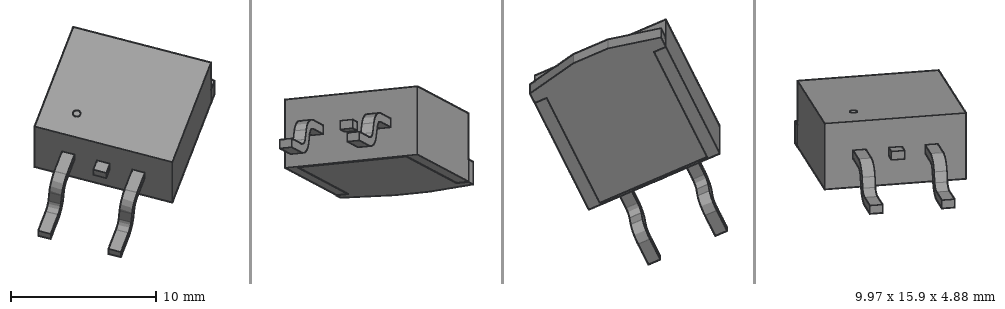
import cadquery as cq
import math


housing_width = 9.97
housing_length = 8.83
overall_height = 4.88
standoff = 0.03

tab_overhang = 1.59
tab_straight_length = 0.8
tab_nose_width = 2.62
tab_thickness = 1.62
pad_side_inset = 0.9
pad_front_inset = 0.16

lead_pitch = 5.08
lead_width = 0.9
lead_thickness = 0.62
overall_length = 15.88
lead_reach = overall_length - housing_length - tab_overhang
lead_top = 2.76
lead_shoulder = 1.75
bend_angle = math.radians(75)
bend_inner_radius = 0.62

stub_width = 0.94
stub_length = 0.83

marker_diameter = 0.52
marker_depth = 0.08
marker_x = -lead_pitch / 2
marker_y = 1.94


def make_tab():
    """Full-width nose behind the housing and a narrower pad under it."""
    side = housing_width / 2
    pad_side = side - pad_side_inset
    shoulder_y = housing_length + tab_straight_length
    nose_y = housing_length + tab_overhang
    half_outline = [
        (pad_side, pad_front_inset),
        (pad_side, housing_length),
        (side, housing_length),
        (side, shoulder_y),
        (tab_nose_width / 2, nose_y),
    ]
    mirrored = [(-x, y) for x, y in reversed(half_outline)]
    return cq.Workplane("XY").polyline(half_outline + mirrored).close().extrude(tab_thickness)


def make_marker():
    """Thin disc set flush into the housing's top face."""
    return (
        cq.Workplane("XY", origin=(marker_x, marker_y, overall_height - marker_depth))
        .circle(marker_diameter / 2)
        .extrude(marker_depth)
    )


def make_housing(tab, marker):
    """Plain block with matching recesses for the tab and the marker."""
    block = cq.Workplane("XY", origin=(0, housing_length / 2, standoff)).box(
        housing_width, housing_length, overall_height - standoff, centered=(True, True, False)
    )
    return block.cut(tab).cut(marker)


def make_lead(center_x):
    """Gull-wing lead: an S-bent strip swept along its centre line, starting at the housing."""
    radius = bend_inner_radius + lead_thickness / 2
    start_z = lead_top - lead_thickness / 2
    foot_z = standoff + lead_thickness / 2
    arc_run = radius * math.sin(bend_angle)
    arc_drop = radius * (1 - math.cos(bend_angle))
    half_run = radius * math.sin(bend_angle / 2)
    half_drop = radius * (1 - math.cos(bend_angle / 2))
    slant_drop = start_z - foot_z - 2 * arc_drop
    slant_run = slant_drop / math.tan(bend_angle)

    bend_y = -lead_shoulder
    foot_y = bend_y - 2 * arc_run - slant_run
    path = (
        cq.Workplane("YZ", origin=(center_x, 0, 0))
        .moveTo(0, start_z)
        .lineTo(bend_y, start_z)
        .threePointArc((bend_y - half_run, start_z - half_drop), (bend_y - arc_run, start_z - arc_drop))
        .lineTo(foot_y + arc_run, foot_z + arc_drop)
        .threePointArc((foot_y + half_run, foot_z + half_drop), (foot_y, foot_z))
        .lineTo(-lead_reach, foot_z)
    )
    section = cq.Workplane("XZ", origin=(center_x, 0, start_z)).rect(lead_width, lead_thickness)
    return section.sweep(path)


def make_stub():
    """Short middle lead, level with the upper ends of the outer leads."""
    return cq.Workplane("XY", origin=(0, -stub_length / 2, lead_top - lead_thickness / 2)).box(
        stub_width, stub_length, lead_thickness
    )


tab = make_tab()
marker = make_marker()
housing = make_housing(tab, marker)
leads = [make_lead(side * lead_pitch / 2) for side in (-1, 1)]
stub = make_stub()

result = cq.Compound.makeCompound(
    [housing.val(), tab.val(), marker.val(), stub.val(), *[lead.val() for lead in leads]]
)